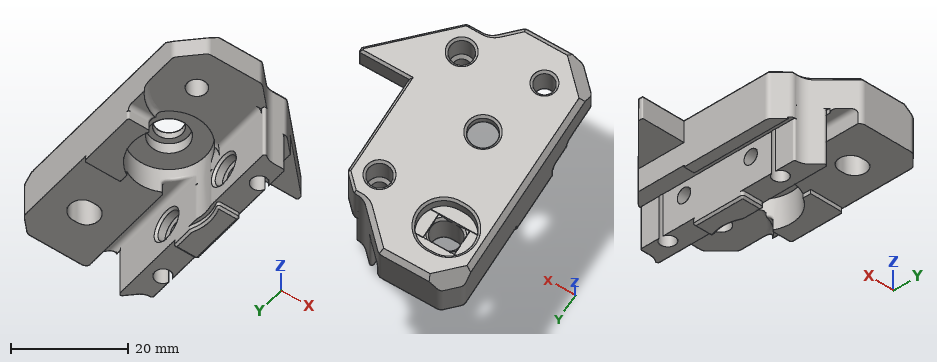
import cadquery as cq
import math


length = 49.25
width = 37.65
back_left_cut = 3.0
front_left_cut = 4.3
right_side = 27.65
shoulder_cut = 3.0
shoulder_front = 4.7
shoulder_back = 41.85
front_edge_end = 15.8
back_edge_end = 15.2
tip_back = 18.65
corner_radius = 1.5
shoulder_radius = 3.0
tip_radius = 0.25

corner_bevel = 2.5
wide_bevel = 1.0
narrow_bevel = 0.5
hole_chamfer = 0.47

wing_depth = 5.0
relief_depth = 6.55
channel_depth = 6.95
shelf_depth = 8.0
right_block_depth = 9.8
block_depth = 10.15
left_pad_depth = 11.05
plate_depth = 18.6
lug_depth = 20.0

plate_left = 19.15
plate_right = 24.25
plate_edge_radius = 0.45
lug_front = 17.25
lug_back = 29.35
lug_chamfer = 0.45
edge_radius = 0.5
step_edge_radius = 0.4

channel_left = 15.8
relief_center = (7.5, 7.5)
relief_dia = 17.95
step_front = 16.95
left_pad_right = 7.8
right_pad_left = 25.2
root_radius = 1.0

bore_center = (11.65, 20.8)
bore_dia = 5.6
bearing_dia = 8.0
bearing_top_depth = 1.95
wheel_dia = 15.5
wheel_top_depth = 4.4
lug_clearance_dia = 16.85

front_hole_dia = 4.0
screw_x = 22.6
screw_ys = (9.75, 36.8)
screw_dia = 3.4
screw_head_dia = 4.7
screw_head_depth = 5.9
cross_ys = (15.2, 31.25)
cross_depth = 12.6
cross_dia = 3.2
cross_head_dia = 6.0
cross_head_depth = 1.95

slot_center = (7.75, 39.35)
slot_stretch = 1.0
slot_recess_dia = 9.95
slot_recess_depth = 2.65
slot_dia = 5.2
slot_step = 0.2

lug_blend_radius = 1.5
plate_blend_radius = 1.95

margin = 2.45
near = 0.05


def box(x0, x1, y0, y1, top, bottom):
    """Axis-aligned block between two depths below the top face."""
    size = (x1 - x0, y1 - y0, bottom - top)
    return cq.Workplane("XY", origin=(x0, y0, -bottom)).box(*size, centered=False)


def cylinder(center, dia, top, bottom):
    """Upright cylinder between two depths below the top face."""
    base = cq.Workplane("XY", origin=(*center, -bottom))
    return base.circle(dia / 2).extrude(bottom - top)


def cone(center, dia, height):
    """45 degree countersink that ends at the given diameter."""
    base = cq.Workplane("XY", origin=(*center, -height)).circle(dia / 2)
    return base.workplane(offset=height).circle(dia / 2 + height).loft(ruled=True)


def slot(dia, top, bottom):
    """Slot stretched along X round the slot center."""
    base = cq.Workplane("XY", origin=(*slot_center, -bottom))
    return base.slot2D(dia + slot_stretch, dia).extrude(bottom - top)


def slot_rim(dia, top):
    """45 degree countersink round a stretched slot, narrowing to the given width."""
    wide = dia + 2 * hole_chamfer
    base = cq.Workplane("XY", origin=(*slot_center, -top))
    return base.slot2D(wide + slot_stretch, wide).extrude(-hole_chamfer, taper=45)


def upright_fillet(body, place, radius):
    """Round the upright edges that stand at one place in the plan."""
    x, y = place
    corner_box = cq.selectors.BoxSelector((x - near, y - near, -2 * lug_depth), (x + near, y + near, 0))
    return body.edges("|Z").edges(corner_box).fillet(radius)


def half_chord(dia, offset):
    """Half the chord of a circle at an offset from its center."""
    return math.sqrt((dia / 2) ** 2 - offset ** 2)


bore_x, bore_y = bore_center
plate_offset = plate_left - bore_x
plate_wheel_edges = [
    (plate_left, bore_y - half_chord(wheel_dia, plate_offset)),
    (plate_left, bore_y + half_chord(wheel_dia, plate_offset)),
]
lug_clearance_edge = (plate_left, bore_y + half_chord(lug_clearance_dia, plate_offset))
step_wheel_edge = (bore_x - half_chord(wheel_dia, bore_y - step_front), step_front)
channel_wheel_edge = (channel_left, bore_y + half_chord(wheel_dia, channel_left - bore_x))


front_hollow = front_edge_end + shoulder_front
back_hollow = back_edge_end + length - shoulder_back
shoulder_end = right_side - shoulder_cut
tip_front = shoulder_front + width - shoulder_end
outline = [
    ((front_left_cut, 0), corner_radius, wide_bevel),
    ((front_edge_end, 0), corner_radius, wide_bevel),
    ((front_hollow, shoulder_front), -shoulder_radius, narrow_bevel),
    ((shoulder_end, shoulder_front), corner_radius, narrow_bevel),
    ((width, tip_front), tip_radius, narrow_bevel),
    ((width, tip_back), tip_radius, narrow_bevel),
    ((right_side, tip_back), 0, narrow_bevel),
    ((right_side, shoulder_back - shoulder_cut), corner_radius, narrow_bevel),
    ((shoulder_end, shoulder_back), corner_radius, narrow_bevel),
    ((back_hollow, shoulder_back), -shoulder_radius, wide_bevel),
    ((back_edge_end, length), corner_radius, wide_bevel),
    ((back_left_cut, length), corner_radius, corner_bevel),
    ((0, length - back_left_cut), corner_radius, wide_bevel),
    ((0, front_left_cut), corner_radius, corner_bevel),
]


def rounded_wire(corners, radii, z):
    """Closed wire through the corners, with an arc wherever the radius is not zero."""
    points = [cq.Vector(x, y, z) for x, y in corners]
    starts, middles, ends = [], [], []
    for i, corner in enumerate(points):
        back = (points[i - 1] - corner).normalized()
        ahead = (points[(i + 1) % len(points)] - corner).normalized()
        half_angle = back.getAngle(ahead) / 2
        setback = radii[i] / math.tan(half_angle)
        to_arc = radii[i] / math.sin(half_angle) - radii[i]
        starts.append(corner + back * setback)
        middles.append(corner + (back + ahead).normalized() * to_arc)
        ends.append(corner + ahead * setback)
    edges = []
    for i, radius in enumerate(radii):
        edges.append(cq.Edge.makeLine(ends[i - 1], starts[i]))
        if radius:
            edges.append(cq.Edge.makeThreePointArc(starts[i], middles[i], ends[i]))
    return cq.Wire.assembleEdges(edges)


def prism(depth):
    """Full outline with upright sides, from the top face down."""
    corners = [corner for corner, _, _ in outline]
    radii = [abs(radius) for _, radius, _ in outline]
    wire = rounded_wire(corners, radii, -depth)
    return cq.Workplane(cq.Solid.extrudeLinear(wire, [], cq.Vector(0, 0, depth)))


def inset_corner(i, depth):
    """Corner i where its two edges are moved in by their bevels at this depth."""
    (x, y), _, bevel = outline[i]
    (x0, y0), _, bevel_before = outline[i - 1]
    (x1, y1), _, _ = outline[(i + 1) % len(outline)]
    along_before = cq.Vector(x - x0, y - y0, 0).normalized()
    along = cq.Vector(x1 - x, y1 - y, 0).normalized()
    inset_before = bevel_before - depth
    inset = bevel - depth
    move = (along * inset_before - along_before * inset) * (1 / along_before.cross(along).z)
    return x + move.x, y + move.y


def crown():
    """45 degree tapered shape whose slopes are the bevels round the top face."""
    wires = []
    for depth in (corner_bevel, 0):
        corners = [inset_corner(i, depth) for i in range(len(outline))]
        hollow_radius = shoulder_radius + wide_bevel - depth
        radii = [hollow_radius if radius < 0 else 0 for _, radius, _ in outline]
        wires.append(rounded_wire(corners, radii, -depth))
    return cq.Workplane(cq.Solid.makeLoft(wires, True))


def block():
    """Outline block with a bevelled top, without its hanging plate."""
    below_crown = box(-margin, width + margin, -margin, length + margin, corner_bevel, left_pad_depth)
    return prism(left_pad_depth).intersect(crown().union(below_crown))


def front_relief():
    """Round relief under the front left corner, opened across to the plate."""
    cx, cy = relief_center
    relief = cylinder(relief_center, relief_dia, relief_depth, lug_depth)
    opening = box(cx, plate_left, -margin, cy + relief_dia / 2, relief_depth, lug_depth)
    rounded = relief.union(opening).faces(">Z").edges().fillet(root_radius)
    plate_foot = box(plate_left - margin, plate_right, -margin, shoulder_front, relief_depth, lug_depth)
    return rounded.union(plate_foot)


def step_relief():
    """Shallower relief that runs back to the step in the left side."""
    shelf = box(-margin, plate_left, -margin, step_front, shelf_depth, lug_depth)
    shelf = shelf.faces(">Z").edges(">Y").fillet(root_radius)
    radius = step_edge_radius
    rounding_back = step_front + radius
    corner = box(-margin, radius, step_front, rounding_back, shelf_depth + root_radius, lug_depth)
    rounding = cylinder((radius, rounding_back), 2 * radius, shelf_depth, lug_depth)
    return shelf.union(corner.cut(rounding))


def channel():
    """Channel between the left half and the plate, open at the back."""
    back = length + margin
    groove = box(channel_left, plate_left, relief_center[1], back, channel_depth, lug_depth)
    groove = groove.faces(">Z").edges("|Y").fillet(root_radius)
    plate_foot = box(plate_left, plate_right, shoulder_back, back, channel_depth, lug_depth)
    return groove.union(plate_foot)


def depth_trims():
    """Space below the parts of the block that stop above the left pad."""
    low = lug_depth
    far_x = width + margin
    far_y = length + margin
    behind_pad = box(-margin, plate_left, step_front, far_y, block_depth, low)
    pad = box(0, left_pad_right, step_front, lug_back, block_depth, low)
    pad = pad.edges("|Z and <X").edges(">Y").fillet(edge_radius)
    right = box(plate_left, far_x, -margin, far_y, right_block_depth, low)
    right_pad = box(right_pad_left, right_side, tip_back, shoulder_back, right_block_depth, block_depth)
    wing = box(right_side, far_x, -margin, tip_back + margin, wing_depth, low)
    return behind_pad.cut(pad).union(right.cut(right_pad)).union(wing)


def wheel_pocket():
    """Round pocket under the main bore."""
    return cylinder(bore_center, wheel_dia, wheel_top_depth, plate_depth)


def plate():
    """Upright plate that follows the outline at both ends, with a lug at its foot."""
    strip = box(plate_left, plate_right, -margin, length + margin, wing_depth, plate_depth)
    wall = prism(plate_depth).intersect(strip)
    wall = wall.edges("(|Z and <X) or (|Z and >X)").fillet(plate_edge_radius)
    wall = wall.cut(wheel_pocket())
    for place in plate_wheel_edges:
        wall = upright_fillet(wall, place, plate_blend_radius)
    lug = box(plate_left, plate_right, lug_front, lug_back, plate_depth - margin, lug_depth)
    lug = lug.cut(cylinder(bore_center, lug_clearance_dia, plate_depth - margin, lug_depth))
    lug = lug.edges("(|Z and <Y) or (|Z and >Y)").fillet(edge_radius)
    lug = upright_fillet(lug, lug_clearance_edge, lug_blend_radius).faces("<Z").chamfer(lug_chamfer)
    return wall.union(lug)


def bore():
    """Main bore with a bearing seat below it."""
    hole = cylinder(bore_center, bore_dia, 0, bearing_top_depth)
    seat = cylinder(bore_center, bearing_dia, bearing_top_depth, wheel_top_depth)
    return hole.union(seat).union(cone(bore_center, bore_dia, hole_chamfer))


def front_hole(body):
    """Plain countersunk hole in the front left corner."""
    body = body.cut(cylinder(relief_center, front_hole_dia, 0, block_depth))
    return body.cut(cone(relief_center, front_hole_dia, hole_chamfer))


def screw_holes(body):
    """Two upright stepped holes with conical seats that run down through the plate."""
    seat_height = (screw_head_dia - screw_dia) / 2
    for y in screw_ys:
        body = body.cut(cylinder((screw_x, y), screw_dia, 0, plate_depth))
        body = body.cut(cylinder((screw_x, y), screw_head_dia, 0, screw_head_depth))
        body = body.cut(cone((screw_x, y), screw_dia, seat_height).translate((0, 0, -screw_head_depth)))
        body = body.cut(cone((screw_x, y), screw_head_dia, hole_chamfer))
    return body


def cross_holes(body):
    """Two level holes through the plate, counterbored from the left."""
    for y in cross_ys:
        face = cq.Workplane("YZ", origin=(plate_left, y, -cross_depth))
        hole = face.circle(cross_dia / 2).extrude(plate_right - plate_left)
        head = face.circle(cross_head_dia / 2).extrude(cross_head_depth)
        rim = face.circle(cross_head_dia / 2 + hole_chamfer)
        rim = rim.workplane(offset=hole_chamfer).circle(cross_head_dia / 2).loft(ruled=True)
        body = body.cut(hole).cut(head).cut(rim)
    return body


def stepped_slot(body):
    """Stretched recess whose floor steps to a strip, a rectangle and then a slot."""
    x, y = slot_center
    half_width = slot_dia / 2
    half_length = (slot_dia + slot_stretch) / 2
    strip_depth = slot_recess_depth + slot_step
    rectangle_depth = strip_depth + slot_step
    recess = slot(slot_recess_dia, 0, slot_recess_depth)
    strip = slot(slot_recess_dia, slot_recess_depth, strip_depth)
    band = box(0, x + width, y - half_width, y + half_width, slot_recess_depth, strip_depth)
    rectangle = box(x - half_length, x + half_length, y - half_width, y + half_width,
                    strip_depth, rectangle_depth)
    body = body.cut(recess).cut(slot_rim(slot_recess_dia, 0))
    body = body.cut(strip.intersect(band)).cut(rectangle)
    column = box(x - half_length, x + half_length, y - half_width, y + half_width,
                 rectangle_depth, block_depth)
    body = body.cut(slot_rim(slot_dia, rectangle_depth).intersect(column))
    return body.cut(slot(slot_dia, rectangle_depth, block_depth))


result = block().cut(depth_trims()).cut(front_relief()).cut(step_relief()).cut(channel())
result = result.cut(wheel_pocket())
result = upright_fillet(result, step_wheel_edge, step_edge_radius)
result = upright_fillet(result, channel_wheel_edge, edge_radius)
result = result.union(plate()).cut(bore())
result = front_hole(result)
result = screw_holes(result)
result = cross_holes(result)
result = stepped_slot(result)